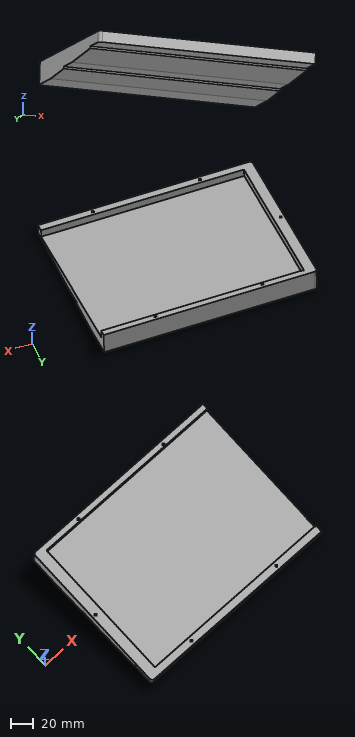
import cadquery as cq
import math

width = 201.5
depth = 154.8
height = 23.5
tilt = 5.0
slope = math.tan(math.radians(tilt))

back_face_lean = 1.8
corner_radius = 3.0

step_height = 1.9
middle_step_y = 12.5
step_run = step_height / slope

left_rim = 10.5
front_rim = 7.5
back_rim = 5.8
tray_depth = 7.7

hole_diameter = 2.0
hole_depth = 4.0
hole_inset = 3.8
left_hole_inset = 3.6
side_hole_spacing = 100.8

front_y = -depth / 2
back_y = depth / 2
back_top_y = back_y - back_face_lean
top_length = (back_top_y - front_y) / math.cos(math.radians(tilt))
front_top_z = height - (back_top_y - front_y) * slope
front_foot_y = front_y + front_top_z * slope
back_foot_z = height - back_face_lean / slope
front_step_y = front_foot_y + step_run

top_plane = cq.Plane(
    origin=(0, (front_y + back_top_y) / 2, (front_top_z + height) / 2),
    xDir=(1, 0, 0),
    normal=(0, -math.sin(math.radians(tilt)), math.cos(math.radians(tilt))),
)


def wedge_body():
    profile = [
        (front_y, front_top_z),
        (front_foot_y, 0),
        (front_step_y, step_height),
        (front_step_y, 0),
        (middle_step_y - step_run, 0),
        (middle_step_y, step_height),
        (middle_step_y, 0),
        (back_y - back_foot_z / slope, 0),
        (back_y, back_foot_z),
        (back_top_y, height),
    ]
    return cq.Workplane("YZ").polyline(profile).close().extrude(width / 2, both=True)


def rounded_envelope():
    """Block square to the top face, with the two upright edges at -X rounded."""
    block = cq.Workplane(top_plane).rect(width, top_length).extrude(height, both=True)
    left_edges = block.faces("<X").edges(cq.selectors.ParallelDirSelector(top_plane.zDir))
    return left_edges.fillet(corner_radius)


def tray_cutter():
    length = width - left_rim
    breadth = top_length - front_rim - back_rim
    return (
        cq.Workplane(top_plane)
        .center(left_rim / 2, (front_rim - back_rim) / 2)
        .rect(length, breadth)
        .extrude(-tray_depth)
    )


def hole_cutter():
    side_x = side_hole_spacing / 2
    side_y = top_length / 2 - hole_inset
    centres = [(x, y) for x in (-side_x, side_x) for y in (-side_y, side_y)]
    centres.append((left_hole_inset - width / 2, 0))
    return cq.Workplane(top_plane).pushPoints(centres).circle(hole_diameter / 2).extrude(-hole_depth)


result = wedge_body().intersect(rounded_envelope()).cut(tray_cutter()).cut(hole_cutter())